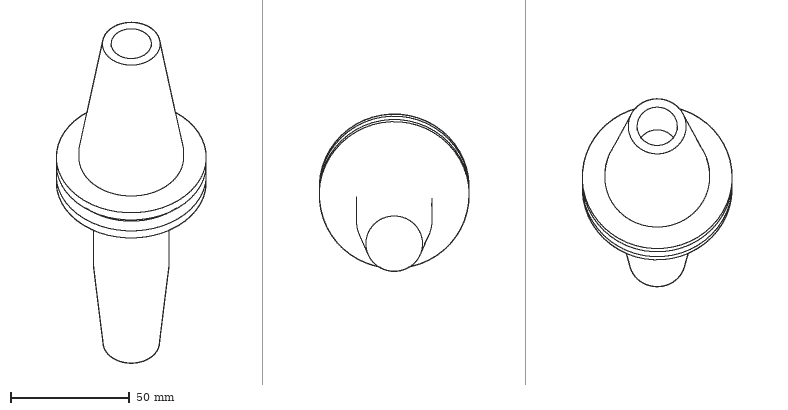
import cadquery as cq
import math


gauge_diameter = 44.45
taper_ratio = 7 / 24
taper_length = 68.4
taper_end_diameter = gauge_diameter - taper_ratio * taper_length

bore_diameter = 17.0
bore_depth = 32.0

flange_diameter = 63.55
flange_top = -3.2
flange_thickness = 15.9
flange_bottom = flange_top - flange_thickness

groove_center = -11.2
groove_floor_diameter = 56.25
groove_floor_width = 2.7
groove_wall_angle = 30.0
groove_depth = (flange_diameter - groove_floor_diameter) / 2
groove_wall_rise = groove_depth * math.tan(math.radians(groove_wall_angle))
groove_half_floor = groove_floor_width / 2
groove_half_mouth = groove_half_floor + groove_wall_rise

projection = 120.0
body_diameter = 32.0
nose_diameter = 24.0
nose_length = 48.0
root_fillet_radius = 8.0
nose_face = -projection
nose_top = nose_face + nose_length


def turned_body():
    """Revolve the half outline of the holder about Z."""
    flange_radius = flange_diameter / 2
    floor_radius = groove_floor_diameter / 2
    gauge_radius = gauge_diameter / 2
    body_radius = body_diameter / 2

    fillet_center_radius = body_radius + root_fillet_radius
    fillet_end = flange_bottom - root_fillet_radius
    fillet_offset = root_fillet_radius * math.sqrt(0.5)
    fillet_middle = (fillet_center_radius - fillet_offset, fillet_end + fillet_offset)

    outline = (
        cq.Workplane("XZ")
        .moveTo(0, taper_length)
        .lineTo(taper_end_diameter / 2, taper_length)
        .lineTo(gauge_radius, 0)
        .lineTo(gauge_radius, flange_top)
        .lineTo(flange_radius, flange_top)
        .lineTo(flange_radius, groove_center + groove_half_mouth)
        .lineTo(floor_radius, groove_center + groove_half_floor)
        .lineTo(floor_radius, groove_center - groove_half_floor)
        .lineTo(flange_radius, groove_center - groove_half_mouth)
        .lineTo(flange_radius, flange_bottom)
        .lineTo(fillet_center_radius, flange_bottom)
        .threePointArc(fillet_middle, (body_radius, fillet_end))
        .lineTo(body_radius, nose_top)
        .lineTo(nose_diameter / 2, nose_face)
        .lineTo(0, nose_face)
        .close()
    )
    return outline.revolve(360, (0, 0, 0), (0, 1, 0))


def taper_bore():
    """Cylinder to remove from the small end of the taper."""
    return (
        cq.Workplane("XY")
        .workplane(offset=taper_length - bore_depth)
        .circle(bore_diameter / 2)
        .extrude(bore_depth)
    )


result = turned_body().cut(taper_bore())